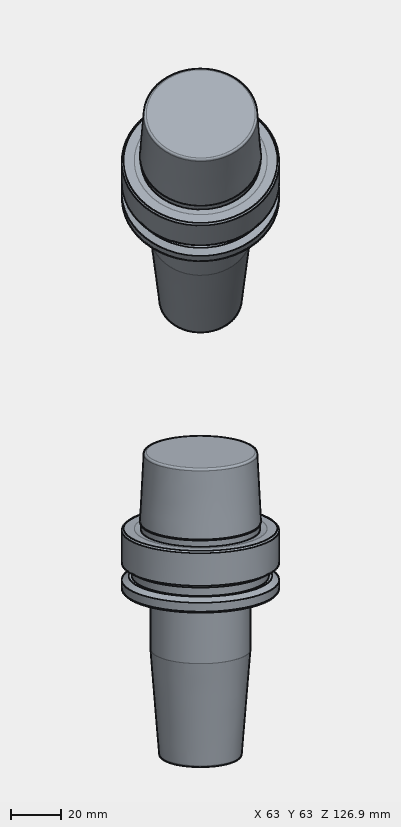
import cadquery as cq

total_height = 126.9
shank_length = 32.0
flange_height = 25.9
neck_height = 2.2
neck_step_height = 0.6
groove_top_drop = 14.3
groove_width = 7.1
groove_wall_height = 1.6
nose_height = 44.7

flange_radius = 31.5
groove_step_radius = 28.7
groove_radius = 27.4
recess_radius = 26.5
shank_base_radius = 24.2
shank_top_radius = 22.7
neck_radius = 23.9
body_radius = 20.0
nose_tip_radius = 16.5

flange_chamfer = 0.8
end_rounding = 1.0
recess_depth = 0.4

flange_top = total_height - shank_length
flange_bottom = flange_top - flange_height
groove_top = flange_top - groove_top_drop
groove_bottom = groove_top - groove_width
groove_floor_top = groove_top - groove_wall_height
groove_floor_bottom = groove_bottom + groove_wall_height
neck_top = flange_top + neck_height
taper_base = neck_top + neck_step_height


def half_profile():
    """Closed radius-height outline, from the bottom of the axis upward."""
    return (
        cq.Workplane("XZ")
        .lineTo(nose_tip_radius, 0)
        .lineTo(body_radius, nose_height)
        .lineTo(body_radius, flange_bottom)
        .lineTo(flange_radius - flange_chamfer, flange_bottom)
        .lineTo(flange_radius, flange_bottom + flange_chamfer)
        .lineTo(flange_radius, groove_bottom)
        .lineTo(groove_step_radius, groove_floor_bottom)
        .lineTo(groove_radius, groove_floor_bottom)
        .lineTo(groove_radius, groove_floor_top)
        .lineTo(groove_step_radius, groove_floor_top)
        .lineTo(flange_radius, groove_top)
        .lineTo(flange_radius, flange_top - flange_chamfer)
        .lineTo(flange_radius - flange_chamfer, flange_top)
        .lineTo(recess_radius, flange_top)
        .lineTo(neck_radius, flange_top - recess_depth)
        .lineTo(neck_radius, neck_top)
        .lineTo(shank_base_radius, taper_base)
        .lineTo(shank_top_radius, total_height)
        .lineTo(0, total_height)
        .close()
    )


holder = half_profile().revolve(360, (0, 0, 0), (0, 1, 0))

result = holder.faces("<Z or >Z").edges().fillet(end_rounding)